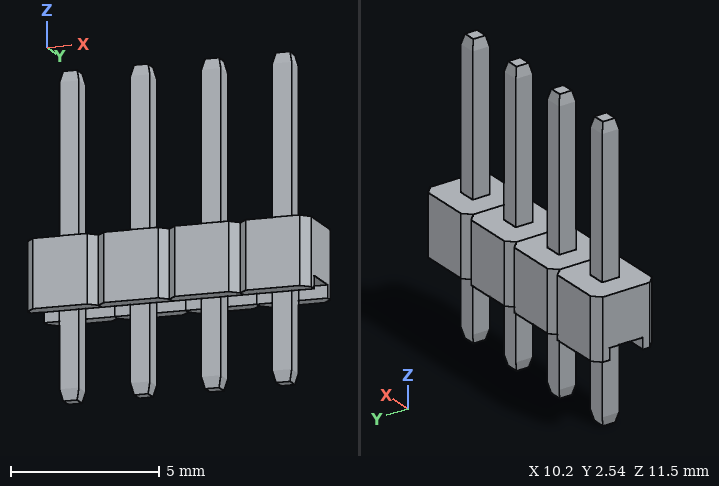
import cadquery as cq


cell_count = 4
row_length = 10.17
cell_length = row_length / cell_count

block_width = 2.54
block_height = 2.46
corner_chamfer = 0.3

groove_width = 1.36
groove_depth = 0.46

pin_length = 11.5
pin_above_block = 6.0
pin_side = 0.705
tip_side = 0.51
tip_height = 0.4
pin_top = block_height + pin_above_block
pin_bottom = pin_top - pin_length


def make_block():
    """Insulator block with chamfered vertical edges and a grooved underside."""
    block = (
        cq.Workplane("XY")
        .box(cell_length, block_width, block_height, centered=(True, True, False))
        .edges("|Z")
        .chamfer(corner_chamfer)
    )
    groove = cq.Workplane("XY").box(
        cell_length, groove_width, groove_depth, centered=(True, True, False)
    )
    return block.cut(groove)


def make_tip(base_z, rise):
    """Tapered end from the full pin section at base_z to the small end face."""
    return (
        cq.Workplane("XY")
        .workplane(offset=base_z)
        .rect(pin_side, pin_side)
        .workplane(offset=rise)
        .rect(tip_side, tip_side)
        .loft(ruled=True)
    )


def make_pin():
    """Square pin with a tapered tip at each end."""
    shank_bottom = pin_bottom + tip_height
    shank_length = pin_length - 2 * tip_height
    shank = (
        cq.Workplane("XY")
        .workplane(offset=shank_bottom)
        .rect(pin_side, pin_side)
        .extrude(shank_length)
    )
    upper_tip = make_tip(shank_bottom + shank_length, tip_height)
    lower_tip = make_tip(shank_bottom, -tip_height)
    return shank.union(upper_tip).union(lower_tip)


def make_cell(index):
    """One block and its pin as a single solid, in its place along the row."""
    center_x = (index - (cell_count - 1) / 2) * cell_length
    return make_block().union(make_pin()).translate((center_x, 0, 0)).solids().val()


cells = [make_cell(index) for index in range(cell_count)]

result = cq.Compound.makeCompound(cells)